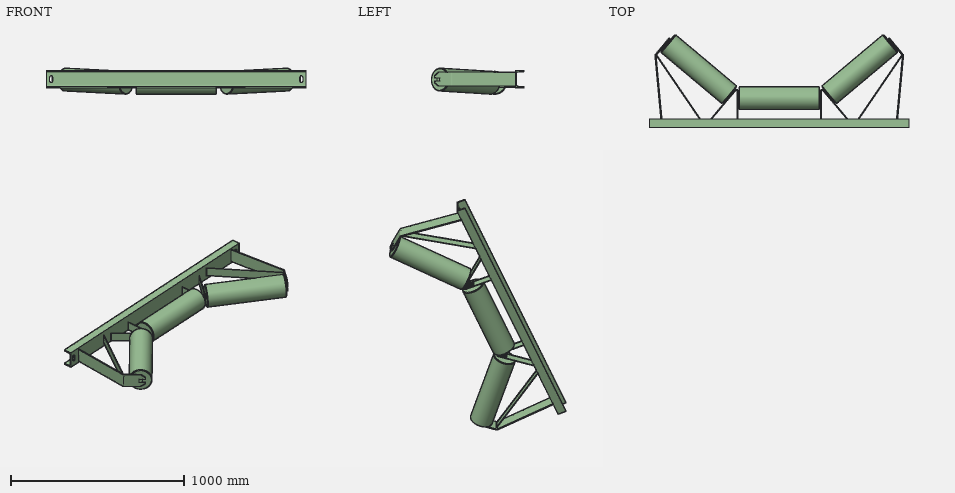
import cadquery as cq
import math

beam_length = 1500.0
beam_height = 100.0
beam_depth = 50.0
web_thickness = 6.0
flange_tip_thickness = 8.0
flange_root_thickness = 9.8
flange_root_radius = 8.0
mounting_slot_length = 38.0
mounting_slot_width = 18.0
mounting_slot_spacing = 1443.0

roller_diameter = 134.0
roller_length = 465.0
roller_end_chamfer = 5.0
axle_width = 20.0
end_gap = 6.0
centre_roller_y = 120.0
low_end_z = -21.0
side_roller_x = -465.0
side_roller_y = 288.0
trough_angle = 40.0
forward_tilt = 2.3

inner_thickness = 5.0
inner_bend_radius = 9.0
inner_width = 52.0
outer_thickness = 8.0
outer_bend_radius = 14.0
outer_width = 81.0
outer_bend_y = 369.0
outer_foot_x = -684.0
outer_tip = 28.0
tip_chamfer_along = 28.0
tip_chamfer_across = 20.0
brace_thickness = 5.0
brace_width = 52.0
brace_foot_x = -460.0

half_length = roller_length / 2
rise = math.radians(trough_angle)
outward = cq.Vector(-math.cos(rise), math.sin(rise), 0)
across = cq.Vector(math.sin(rise), math.cos(rise), 0)
side_middle_z = low_end_z + half_length * math.sin(math.radians(forward_tilt))
side_centre = cq.Vector(side_roller_x, side_roller_y, side_middle_z)
tilted_axis = (
    outward * math.cos(math.radians(forward_tilt))
    + cq.Vector(0, 0, math.sin(math.radians(forward_tilt)))
)
centre_plane = cq.Plane((0, centre_roller_y, low_end_z), (0, 0, 1), (1, 0, 0))
side_plane = cq.Plane(side_centre, across * -1, tilted_axis)


def side_point(along, above):
    """Point in the XY plane, measured from the left roller's middle along and across its axis."""
    point = side_centre + outward * along + across * above
    return cq.Vector(point.x, point.y, 0)


def at_height(start, direction, y):
    """Point with the given Y on the line through start."""
    return start + direction * ((y - start.y) / direction.y)


def mitre(corner, arriving, leaving, thickness):
    """Inner corner of a bent strip whose outer face turns at corner, its material on the left."""
    normal_in = cq.Vector(-arriving.y, arriving.x, 0)
    normal_out = cq.Vector(-leaving.y, leaving.x, 0)
    return corner + (normal_in + normal_out) * (thickness / (1 + normal_in.dot(normal_out)))


def strip(points, middle_z, width):
    """Flat bar set on edge: an outline in the XY plane, as wide along Z as the bar."""
    return (
        cq.Workplane("XY", origin=(0, 0, middle_z - width / 2))
        .polyline([(p.x, p.y) for p in points])
        .close()
        .extrude(width)
    )


def round_bend(body, outer_corner, inner_corner, radius, thickness):
    for corner, bend in ((outer_corner, radius), (inner_corner, radius - thickness)):
        body = body.edges("|Z").edges(cq.selectors.NearestToPointSelector(corner.toTuple())).fillet(bend)
    return body


def make_beam():
    top = beam_height / 2
    root = top - flange_root_thickness
    tip = top - flange_tip_thickness
    beam = (
        cq.Workplane("YZ", origin=(-beam_length / 2, 0, 0))
        .polyline([
            (0, -top), (-beam_depth, -top), (-beam_depth, -tip), (-web_thickness, -root),
            (-web_thickness, root), (-beam_depth, tip), (-beam_depth, top), (0, top),
        ])
        .close()
        .extrude(beam_length)
    )
    for z in (-root, root):
        inside_corner = cq.selectors.NearestToPointSelector((0, -web_thickness, z))
        beam = beam.edges("|X").edges(inside_corner).fillet(flange_root_radius)
    slots = (
        cq.Workplane("XZ")
        .rarray(mounting_slot_spacing, 15, 2, 1)
        .slot2D(mounting_slot_length, mounting_slot_width, 90)
        .extrude(beam_depth)
    )
    return beam.cut(slots)


def make_roller(plane, low_reach, high_reach):
    """Roller on the plane's normal, with axle ends reaching past its two end faces."""
    shell = (
        cq.Workplane(plane)
        .workplane(offset=-half_length)
        .circle(roller_diameter / 2)
        .extrude(roller_length)
        .faces("%PLANE")
        .chamfer(roller_end_chamfer)
    )
    axle = (
        cq.Workplane(plane)
        .workplane(offset=-half_length - low_reach)
        .rect(axle_width, axle_width)
        .extrude(roller_length + low_reach + high_reach)
    )
    return shell.union(axle)


def axle_slot(roller_plane, opening, direction):
    """Cutter for an axle slot at one end of the roller on the plane, running out along opening."""
    slot_height = roller_diameter / 2
    return (
        cq.Workplane(cq.Plane(roller_plane.origin, opening, roller_plane.zDir))
        .workplane(offset=direction * half_length)
        .center(slot_height / 2 - axle_width / 2, 0)
        .rect(slot_height, axle_width)
        .extrude(direction * 2 * (end_gap + outer_thickness))
    )


def make_inner_bracket():
    """Left inverted-V bracket between the centre roller and the left roller."""
    down = cq.Vector(0, -1, 0)
    upright_x = -half_length - end_gap
    slope_start = side_point(-half_length - end_gap, 0)
    slope_foot = at_height(slope_start, across, 0)
    apex = slope_start + across * ((upright_x - slope_start.x) / across.x)
    inner_apex = mitre(apex, across, down, -inner_thickness)
    outline = [
        slope_foot,
        apex,
        cq.Vector(upright_x, 0, 0),
        cq.Vector(upright_x - inner_thickness, 0, 0),
        inner_apex,
        at_height(inner_apex, across, 0),
    ]
    bracket = strip(outline, low_end_z, inner_width)
    bracket = round_bend(bracket, apex, inner_apex, inner_bend_radius, inner_thickness)
    return bracket.cut(axle_slot(centre_plane, cq.Vector(0, 1, 0), -1)).cut(axle_slot(side_plane, across, -1))


outer_face = half_length + end_gap + outer_thickness
outer_bend = at_height(side_point(outer_face, 0), across, outer_bend_y)
arm_foot = cq.Vector(outer_foot_x, 0, 0)
arm_direction = (arm_foot - outer_bend).normalized()
inner_bend = mitre(outer_bend, across * -1, arm_direction, outer_thickness)


def make_outer_bracket():
    """Left arm from the beam, bent to stand square to the left roller's high end."""
    outline = [
        side_point(outer_face, outer_tip),
        outer_bend,
        arm_foot,
        at_height(inner_bend, arm_direction, 0),
        inner_bend,
        side_point(outer_face - outer_thickness, outer_tip),
    ]
    bracket = strip(outline, 0, outer_width)
    bracket = round_bend(bracket, outer_bend, inner_bend, outer_bend_radius, outer_thickness)
    half = outer_width / 2
    plate_plane = cq.Plane(side_point(outer_face, outer_tip), across, outward)
    for sign in (-1, 1):
        corner = (
            cq.Workplane(plate_plane)
            .polyline([
                (0, half * sign),
                (0, (half - tip_chamfer_across) * sign),
                (-tip_chamfer_along, half * sign),
            ])
            .close()
            .extrude(-outer_thickness)
        )
        bracket = bracket.cut(corner)
    return bracket.cut(axle_slot(side_plane, across, 1))


def make_brace(bracket):
    """Left diagonal brace from the beam to the plate of the outer bracket, beside its bend."""
    foot = cq.Vector(brace_foot_x, 0, 0)
    direction = (inner_bend - foot).normalized()
    end_angle = direction.getAngle(across)
    outline = [
        foot,
        inner_bend,
        inner_bend + across * (brace_thickness / math.sin(end_angle)),
        foot + cq.Vector(brace_thickness / direction.y, 0, 0),
    ]
    return strip(outline, 0, brace_width).cut(bracket)


beam = make_beam()
inner_reach = end_gap + inner_thickness
outer_reach = end_gap + outer_thickness
centre_roller = make_roller(centre_plane, inner_reach, inner_reach)
side_roller = make_roller(side_plane, inner_reach, outer_reach)
inner_bracket = make_inner_bracket()
outer_bracket = make_outer_bracket()
brace = make_brace(outer_bracket)
left_bodies = [side_roller, inner_bracket, outer_bracket, brace]
right_bodies = [body.mirror("YZ") for body in left_bodies]
result = cq.Compound.makeCompound(
    [beam.val(), centre_roller.val()] + [body.val() for body in left_bodies + right_bodies]
)